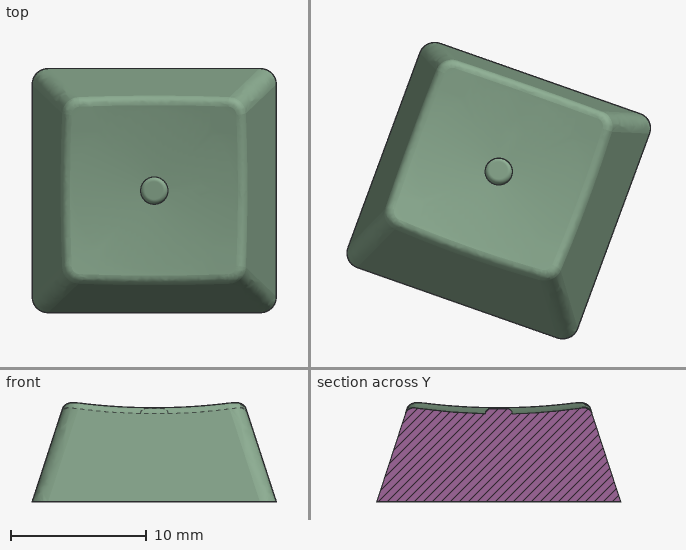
import cadquery as cq

base_side = 18.0
blank_height = 8.28
side_inset_x = 2.7
side_inset_y = 2.57
corner_radius = 1.26

dish_bottom_height = 6.48
dish_radius = 43.2
rim_radius = 0.65

bump_diameter = 2.02
bump_rise = 0.38
bump_edge_radius = 0.35


def tapered_body():
    """Square block with leaning walls and rounded corner edges."""
    top_x = base_side - 2 * side_inset_x
    top_y = base_side - 2 * side_inset_y
    base = cq.Workplane("XY").rect(base_side, base_side)
    block = base.workplane(offset=blank_height).rect(top_x, top_y).loft(ruled=True)
    return block.edges("not(#Z or |X or |Y)").fillet(corner_radius)


def dished_body():
    """Body hollowed on top by a large sphere, with its rim rounded."""
    sphere = cq.Workplane("XY").sphere(dish_radius)
    dish = sphere.translate((0, 0, dish_bottom_height + dish_radius))
    body = tapered_body().cut(dish)
    return body.faces("%SPHERE").edges().fillet(rim_radius)


def homing_bump():
    """Low round button with a rounded top edge, rooted in the body."""
    root_height = dish_bottom_height / 2
    top_height = dish_bottom_height + bump_rise
    button = cq.Workplane("XY").workplane(offset=root_height).circle(bump_diameter / 2)
    return button.extrude(top_height - root_height).faces(">Z").edges().fillet(bump_edge_radius)


result = dished_body().union(homing_bump())